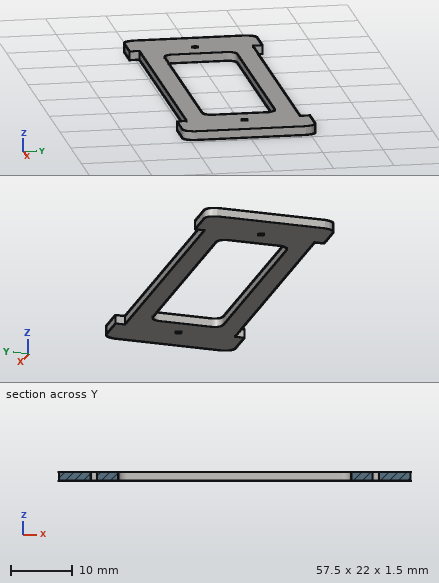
import cadquery as cq

length = 57.5
width = 22.0
thickness = 1.5

taper_depth = 0.5
taper_width = 1.8
corner_radius = 1.55

tab_length = 6.6
recess_depth = 1.6
recess_length = length - 2 * tab_length

window_length = 38.0
window_width = 12.0
window_radius = 1.5

hole_diameter = 1.0
hole_spacing = 46.0


def tapered_plate():
    """Solid plate with tapered corners, rounded where the taper meets the long edge."""
    half_length = length / 2
    half_width = width / 2
    long_edge_end = half_length - taper_depth
    end_face_end = half_width - taper_width
    outline = [
        (half_length, -end_face_end),
        (half_length, end_face_end),
        (long_edge_end, half_width),
        (-long_edge_end, half_width),
        (-half_length, end_face_end),
        (-half_length, -end_face_end),
        (-long_edge_end, -half_width),
        (long_edge_end, -half_width),
    ]
    plate = cq.Workplane("XY").polyline(outline).close().extrude(thickness)
    for long_side in (">Y", "<Y"):
        plate = plate.faces(long_side).edges("|Z").fillet(corner_radius)
    return plate


def central_window():
    """Cutter for the rectangular opening with rounded corners."""
    return (
        cq.Workplane("XY")
        .rect(window_length, window_width)
        .extrude(thickness)
        .edges("|Z")
        .fillet(window_radius)
    )


def edge_recesses():
    """Cutters for both long edges; half of each lies outside the plate."""
    return (
        cq.Workplane("XY")
        .pushPoints([(0, -width / 2), (0, width / 2)])
        .rect(recess_length, 2 * recess_depth)
        .extrude(thickness)
    )


def mounting_holes():
    """Through-hole cutters on the long centre line."""
    return (
        cq.Workplane("XY")
        .pushPoints([(-hole_spacing / 2, 0), (hole_spacing / 2, 0)])
        .circle(hole_diameter / 2)
        .extrude(thickness)
    )


result = tapered_plate().cut(edge_recesses()).cut(central_window()).cut(mounting_holes())